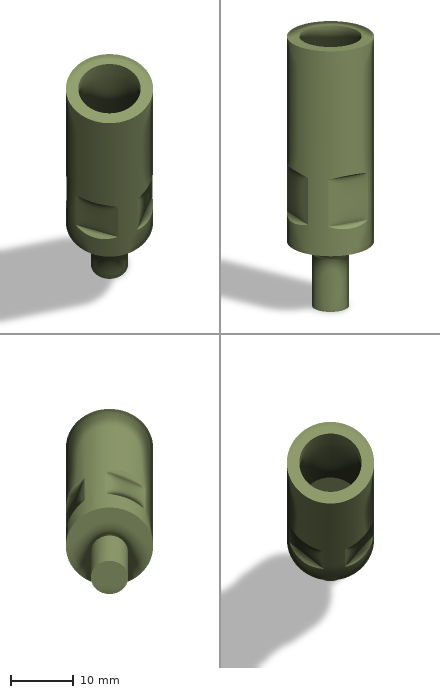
import cadquery as cq
import math

total_height = 46.0
stud_height = 8.95
neck_height = 2.02
body_bottom = stud_height + neck_height

body_diameter = 14.0
stud_diameter = 6.0
neck_diameter = 4.6

socket_diameter = 10.0
socket_depth = 20.0
pilot_diameter = 4.0
pilot_depth = 5.0

flat_count = 4
across_flats = 12.0
flat_height = 8.0
flat_offset = 5.0
runout_angle = 30.0
cutter_clearance = 0.45


def post(diameter, bottom, height):
    """Solid cylinder on the Z axis."""
    return cq.Workplane("XY").workplane(offset=bottom).circle(diameter / 2).extrude(height)


def flat_cutter():
    """Trapezoidal prism that cuts the flat facing +X and its two run-outs."""
    inner = across_flats / 2
    outer = body_diameter / 2 + cutter_clearance
    flare = (outer - inner) * math.tan(math.radians(runout_angle))
    low = body_bottom + flat_offset
    high = low + flat_height
    return (
        cq.Workplane("XZ")
        .polyline([(inner, low), (outer, low - flare), (outer, high + flare), (inner, high)])
        .close()
        .extrude(body_diameter / 2, both=True)
    )


result = post(stud_diameter, 0, stud_height)
result = result.union(post(neck_diameter, stud_height, neck_height))
result = result.union(post(body_diameter, body_bottom, total_height - body_bottom))

socket_floor = total_height - socket_depth
result = result.cut(post(socket_diameter, socket_floor, socket_depth))
result = result.cut(post(pilot_diameter, socket_floor - pilot_depth, pilot_depth))

for index in range(flat_count):
    angle = index * 360 / flat_count
    result = result.cut(flat_cutter().rotate((0, 0, 0), (0, 0, 1), angle))